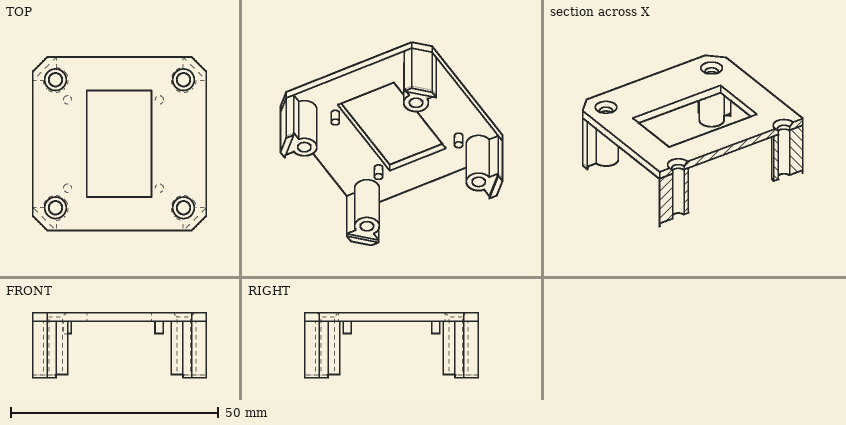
import cadquery as cq

side = 42.0
half = side / 2
plate_thickness = 2.1
corner_chamfer = 3.6
window_width = 15.55
window_length = 25.7
window_center_x = -0.1

screw_inset = 5.55
hole_diameter = 3.2
countersink_diameter = 5.2
countersink_angle = 90.0

pin_diameter = 2.0
pin_length = 3.0
pin_left_x = -12.6
pin_right_x = 9.58
pin_y = 10.65

total_height = 15.8
leg_width = 5.7
post_diameter = 6.0
lip_height = 0.8
post_length = total_height - plate_thickness - lip_height


def make_plate():
    """Chamfered plate with a window, countersunk screw holes and locating pins."""
    plate = (
        cq.Workplane("XY")
        .box(side, side, plate_thickness, centered=(True, True, False))
        .translate((0, 0, -plate_thickness))
        .edges("|Z")
        .chamfer(corner_chamfer)
    )
    window = (
        cq.Workplane("XY")
        .center(window_center_x, 0)
        .rect(window_width, window_length)
        .extrude(-plate_thickness)
    )
    plate = plate.cut(window)

    screw_spacing = side - 2 * screw_inset
    plate = (
        plate.faces(">Z")
        .workplane(origin=(0, 0, 0))
        .rect(screw_spacing, screw_spacing, forConstruction=True)
        .vertices()
        .cskHole(hole_diameter, countersink_diameter, countersink_angle)
    )

    pin_places = [(x, y) for x in (pin_left_x, pin_right_x) for y in (-pin_y, pin_y)]
    pins = (
        cq.Workplane("XY", origin=(0, 0, -plate_thickness))
        .pushPoints(pin_places)
        .circle(pin_diameter / 2)
        .extrude(-pin_length)
    )
    return plate.union(pins)


def make_leg(quarter_turns):
    """Corner leg: block and round post with a screw hole, and a lip along the chamfer."""
    inner = half - leg_width
    chamfer_start = half - corner_chamfer
    screw = half - screw_inset
    top = cq.Workplane("XY", origin=(0, 0, -plate_thickness))

    block = (
        top.polyline([
            (inner, inner),
            (half, inner),
            (half, chamfer_start),
            (chamfer_start, half),
            (inner, half),
        ])
        .close()
        .extrude(-post_length)
    )
    post = top.center(screw, screw).circle(post_diameter / 2).extrude(-post_length)
    lip = (
        top.polyline([
            (half, inner),
            (half, chamfer_start),
            (chamfer_start, half),
            (inner, half),
        ])
        .close()
        .extrude(-(post_length + lip_height))
    )
    hole = top.center(screw, screw).circle(hole_diameter / 2).extrude(-post_length)
    leg = block.union(post).cut(hole).union(lip, clean=False)
    return leg.rotate((0, 0, 0), (0, 0, 1), 90 * quarter_turns)


plate = make_plate()
legs = [make_leg(turn) for turn in range(4)]

result = cq.Compound.makeCompound([plate.val(), *[leg.val() for leg in legs]])